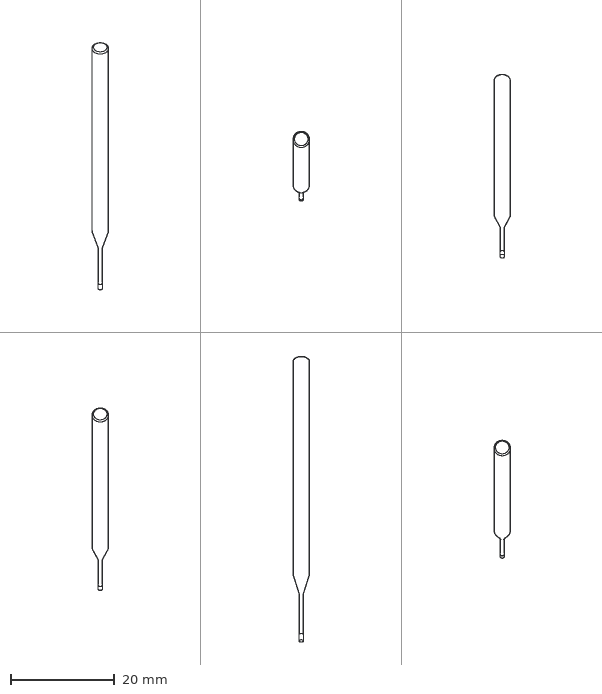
import cadquery as cq

overall_length = 63.5
shank_diameter = 3.175
neck_diameter = 0.85
cutter_diameter = 0.9

cutter_length = 1.4
neck_end_height = 10.67
taper_end_height = 15.05

back_chamfer = 0.3


def make_cutter():
    """Plain cylindrical envelope of the cutting tip, standing on Z = 0."""
    return cq.Workplane("XY").circle(cutter_diameter / 2).extrude(cutter_length)


def make_shank():
    """Neck, conical taper and chamfered shank, revolved about Z as one body."""
    neck_radius = neck_diameter / 2
    shank_radius = shank_diameter / 2
    half_profile = (
        cq.Workplane("XZ")
        .moveTo(0, cutter_length)
        .lineTo(neck_radius, cutter_length)
        .lineTo(neck_radius, neck_end_height)
        .lineTo(shank_radius, taper_end_height)
        .lineTo(shank_radius, overall_length - back_chamfer)
        .lineTo(shank_radius - back_chamfer, overall_length)
        .lineTo(0, overall_length)
        .close()
    )
    return half_profile.revolve(360, (0, 0, 0), (0, 1, 0))


cutter = make_cutter()
shank = make_shank()

result = cq.Compound.makeCompound([cutter.val(), shank.val()])